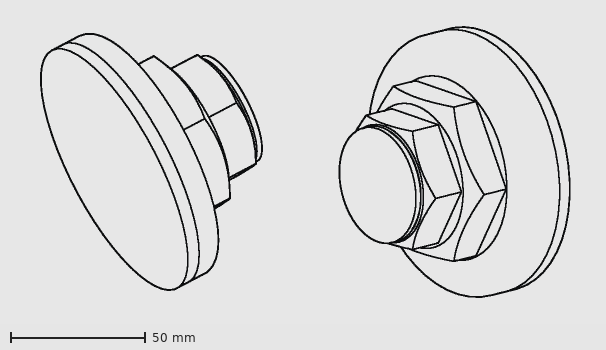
import cadquery as cq
import math

pad_thickness = 5.0
plate_thickness = 10.0
boss_height = 3.0
hex_height = 15.0
total_depth = 51.3
plate_back = pad_thickness + plate_thickness
boss_back = plate_back + boss_height
body_back = boss_back + hex_height
nut_back = body_back + hex_height

disc_radius = 50.0
rim_round = 3.0
boss_radius = 35.0
body_flats = 60.0
body_chamfer_radius = 27.5

nut_flats = 46.0
nut_chamfer_radius = 22.4
chamfer_angle = math.radians(30)

cap_radius = 22.0
cap_chamfer = 1.0


def cylinder(radius, start, length):
    """Cylinder on the Y axis, from the start station toward +Y."""
    return cq.Workplane("XZ", origin=(0, start, 0)).circle(radius).extrude(-length)


def chamfered_hex(flats, top_radius, start, height):
    """Hexagonal prism with corners on X and a conical chamfer on its +Y end."""
    corner_radius = flats / math.sqrt(3)
    drop = (corner_radius - top_radius) * math.tan(chamfer_angle)
    end = start + height
    prism = (
        cq.Workplane("XZ", origin=(0, start, 0))
        .polygon(6, 2 * corner_radius)
        .extrude(-height)
    )
    envelope = (
        cq.Workplane("XY")
        .moveTo(0, start)
        .lineTo(corner_radius, start)
        .lineTo(corner_radius, end - drop)
        .lineTo(top_radius, end)
        .lineTo(0, end)
        .close()
        .revolve(360, (0, 0, 0), (0, 1, 0))
    )
    return prism.intersect(envelope)


def make_flanged_body():
    """Round plate with a rounded rim, a flared boss and a hexagon behind it."""
    arc_inset = rim_round * (1 - math.sqrt(0.5))
    flare_radius = boss_radius + boss_height
    flange = (
        cq.Workplane("XY")
        .moveTo(0, pad_thickness)
        .lineTo(disc_radius, pad_thickness)
        .lineTo(disc_radius, plate_back - rim_round)
        .threePointArc(
            (disc_radius - arc_inset, plate_back - arc_inset),
            (disc_radius - rim_round, plate_back),
        )
        .lineTo(flare_radius, plate_back)
        .radiusArc((boss_radius, boss_back), boss_height)
        .lineTo(0, boss_back)
        .close()
        .revolve(360, (0, 0, 0), (0, 1, 0))
    )
    hexagon = chamfered_hex(body_flats, body_chamfer_radius, boss_back, hex_height)
    return flange.union(hexagon)


def make_end_cap():
    """Disc behind the nut, chamfered on the edge that faces the nut."""
    cap = cylinder(cap_radius, nut_back, total_depth - nut_back)
    return cap.faces("<Y").chamfer(cap_chamfer)


pad = cylinder(disc_radius, 0, pad_thickness)
flanged_body = make_flanged_body()
nut = chamfered_hex(nut_flats, nut_chamfer_radius, body_back, hex_height)
end_cap = make_end_cap()

result = cq.Compound.makeCompound([
    pad.val(),
    flanged_body.val(),
    nut.val(),
    end_cap.val(),
])